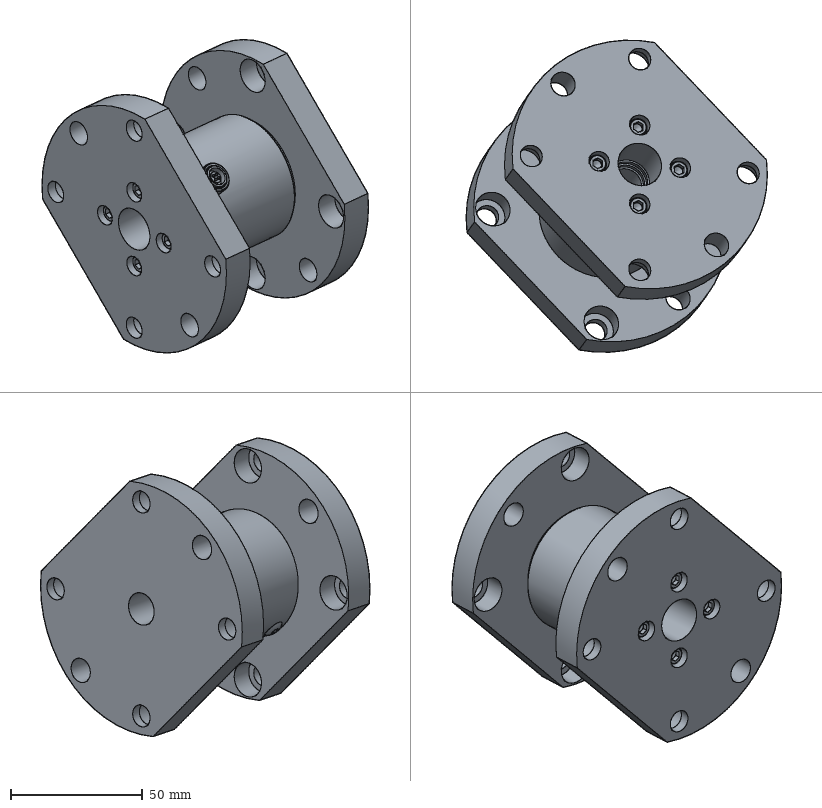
import cadquery as cq
import math

flange_diameter = 100
flats_distance = 78.4
flange_thickness = 12.7
overall_length = 76.2
half_length = overall_length / 2
inner_face = half_length - flange_thickness

mounting_radius = 42.5
bolt_hole_diameter = 8.6
bolt_head_diameter = 13.5
bolt_head_depth = 8.7
dowel_hole_diameter = 9.5

barrel_diameter = 50
barrel_chamfer = 0.8
neck_diameter = 46.3
neck_length = 1.5

bore_diameter = 12.7
front_bore_steps = [(17, 20), (15.6, 22), (14.2, 24)]

screw_circle_radius = 15.9
screw_recess_diameter = 7.9
screw_recess_depth = 5
screw_head_diameter = 6.9
screw_head_height = 2.7
screw_head_chamfer = 0.4
screw_socket_corners = 4.3
screw_socket_depth = 2
screw_socket_tip = 1

connector_y = -18.1
connector_diameter = 11.8
connector_chamfer = 0.4
connector_reach = 34.4
connector_root = 22
sleeve_groove_diameter = 9.5
sleeve_groove_depth = 0.5
sleeve_diameter = 8.6
sleeve_reach = 35
sleeve_bore_diameter = 6.9
sleeve_floor = 32
core_diameter = 4.5
core_reach = 34
pin_diameter = 1
pin_spacing = 1.6
pin_length = 0.5
seat_width = 12.1
seat_height = 23
seat_front_y = -24.2

button_y = -19.4
button_diameter = 8.8
button_base = 24
button_top = 26.1
button_top_diameter = 3.6
button_socket_corners = 2.8
button_socket_depth = 0.6
button_socket_tip = 0.6
button_dome_bulge = 0.4

diagonal = math.sqrt(0.5)


def y_cylinder(diameter, y_start, y_end, x=0, z=0):
    """Cylinder along +Y between two Y positions."""
    plane = cq.Plane(origin=(x, y_start, z), xDir=(1, 0, 0), normal=(0, 1, 0))
    return cq.Workplane(plane).circle(diameter / 2).extrude(y_end - y_start)


def diagonal_plane(y, height, side):
    """Plane facing outward along (side, 0, side), at a height above the Y axis."""
    offset = side * height * diagonal
    return cq.Workplane(cq.Plane(origin=(offset, y, offset), xDir=(0, 1, 0), normal=(side, 0, side)))


def hex_socket(top_plane, corners, depth, tip_depth):
    """Hexagon socket sunk below an outward-facing plane, ending in a conical tip."""
    hexagon = cq.Workplane(top_plane).polygon(6, corners).extrude(-depth)
    tip_radius = corners / 2 * math.cos(math.pi / 6)
    tip_base = top_plane.origin - top_plane.zDir * depth
    tip = cq.Solid.makeCone(tip_radius, 0, tip_depth, tip_base, -top_plane.zDir)
    return hexagon.union(cq.Workplane(tip))


def positions_on_axes(radius):
    """Four (X, Z) points at a radius along +X, +Z, -X and -Z."""
    return [(radius, 0), (0, radius), (-radius, 0), (0, -radius)]


def flange(outer_y, inner_y):
    """Flange whose bolt head counterbores open on the inner face."""
    y_start = min(outer_y, inner_y)
    y_end = max(outer_y, inner_y)
    flats = cq.Workplane("XY").box(flats_distance, overall_length, flange_diameter)
    flats = flats.rotate((0, 0, 0), (0, 1, 0), -45)
    plate = y_cylinder(flange_diameter, y_start, y_end).intersect(flats)

    floor_y = inner_y + math.copysign(bolt_head_depth, outer_y)
    head_start = min(floor_y, inner_y)
    head_end = max(floor_y, inner_y)
    for x, z in positions_on_axes(mounting_radius):
        plate = plate.cut(y_cylinder(bolt_hole_diameter, y_start, y_end, x, z))
        plate = plate.cut(y_cylinder(bolt_head_diameter, head_start, head_end, x, z))

    dowel_offset = mounting_radius * diagonal
    for x, z in [(dowel_offset, -dowel_offset), (-dowel_offset, dowel_offset)]:
        hole = y_cylinder(dowel_hole_diameter, y_start, y_end, x, z)
        plate = plate.cut(hole)
    return plate


def barrel():
    barrel_end = inner_face - neck_length
    body = y_cylinder(barrel_diameter, -inner_face, barrel_end).faces(">Y").chamfer(barrel_chamfer)
    return body.union(y_cylinder(neck_diameter, barrel_end, inner_face))


def bore():
    hole = y_cylinder(bore_diameter, -half_length, half_length)
    for diameter, depth in front_bore_steps:
        hole = hole.union(y_cylinder(diameter, -half_length, -half_length + depth))
    return hole


def sunk_screw_cut(x, z):
    """Recess around and above a screw head, plus its hexagon socket."""
    floor_y = -half_length + screw_recess_depth
    head_top_y = floor_y - screw_head_height
    recess = y_cylinder(screw_recess_diameter, -half_length, floor_y, x, z)
    head = y_cylinder(screw_head_diameter, head_top_y, floor_y, x, z)
    recess = recess.cut(head.faces("<Y").chamfer(screw_head_chamfer))

    socket_top = cq.Plane(origin=(x, head_top_y, z), xDir=(0, 0, -1), normal=(0, -1, 0))
    return recess.union(hex_socket(socket_top, screw_socket_corners, screw_socket_depth, screw_socket_tip))


def connector_seat_cut():
    """Flat-bottomed U slot under the connector, running toward the front flange."""
    depth = barrel_diameter / 2 - seat_height
    run = connector_y - seat_front_y
    seat = diagonal_plane(connector_y, seat_height, 1).circle(seat_width / 2).extrude(depth)
    channel = diagonal_plane(connector_y - run / 2, seat_height, 1).rect(run, seat_width).extrude(depth)
    return seat.union(channel)


def diagonal_cylinder(diameter, bottom, top):
    """Cylinder on the connector's axis between two heights above the Y axis."""
    return diagonal_plane(connector_y, bottom, 1).circle(diameter / 2).extrude(top - bottom)


def connector():
    """Chamfered housing around a sleeve that holds a core with four pins."""
    housing = diagonal_cylinder(connector_diameter, connector_root, connector_reach)
    housing = housing.faces(">(1, 0, 1)").chamfer(connector_chamfer)
    groove_floor = connector_reach - sleeve_groove_depth
    housing = housing.cut(diagonal_cylinder(sleeve_groove_diameter, groove_floor, connector_reach))

    sleeve = diagonal_cylinder(sleeve_diameter, sleeve_floor, sleeve_reach)
    bore_space = diagonal_cylinder(sleeve_bore_diameter, sleeve_floor, sleeve_reach)
    core = diagonal_cylinder(core_diameter, sleeve_floor, core_reach)
    pins = diagonal_plane(connector_y, core_reach, 1).rarray(pin_spacing, pin_spacing, 2, 2)
    pins = pins.circle(pin_diameter / 2).extrude(pin_length)
    return housing.union(sleeve).cut(bore_space).union(core).union(pins)


def button_screw():
    """Domed screw head with a hexagon socket."""
    rise = button_top - button_base
    base_radius = button_diameter / 2
    top_radius = button_top_diameter / 2
    middle_radius = (base_radius + top_radius) / 2 + button_dome_bulge
    middle = (middle_radius, rise / 2 + button_dome_bulge)
    profile = (
        diagonal_plane(button_y, button_base, -1)
        .transformed(rotate=(90, 0, 0))
        .lineTo(base_radius, 0)
        .threePointArc(middle, (top_radius, rise))
        .lineTo(0, rise)
        .close()
    )
    head = profile.revolve(360, (0, 0, 0), (0, 1, 0))
    socket_top = diagonal_plane(button_y, button_top, -1).plane
    socket = hex_socket(socket_top, button_socket_corners, button_socket_depth, button_socket_tip)
    return head.cut(socket)


result = barrel().cut(connector_seat_cut())
result = result.union(flange(-half_length, -inner_face))
result = result.union(flange(half_length, inner_face))
result = result.union(connector()).union(button_screw())
result = result.cut(bore())
for screw_x, screw_z in positions_on_axes(screw_circle_radius):
    result = result.cut(sunk_screw_cut(screw_x, screw_z))